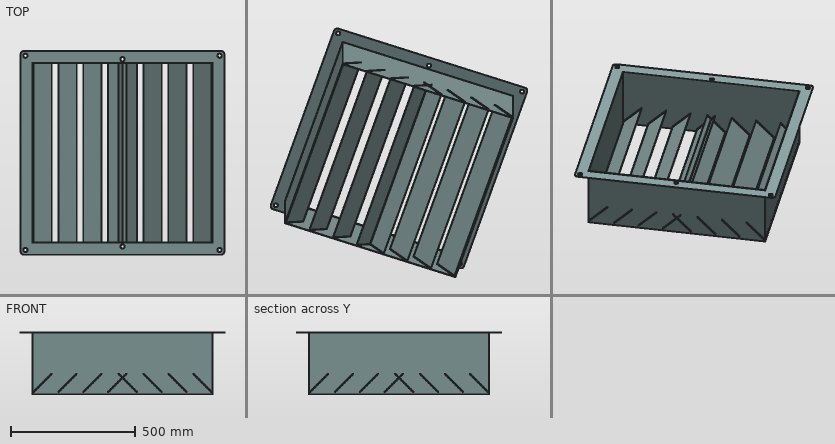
import cadquery as cq
import math

flange_side = 820.0
height = 250.0
sheet = 2.0
duct_side = 724.0
corner_radius = 15.0

hole_diameter = 16.0
corner_hole_offset = 390.0
middle_hole_offset = 376.0

blades_per_side = 4
blade_pitch = 100.0
blade_length = 104.0
blade_angle = 45.0
blade_bottom = 9.0
blade_end_projection = 0.2
blade_wall_gap = 2.0

opening_side = duct_side - 2 * sheet


def make_flange():
    plate = (
        cq.Workplane("XY")
        .workplane(offset=height - sheet)
        .rect(flange_side, flange_side)
        .rect(opening_side, opening_side)
        .extrude(sheet)
    )
    plate = plate.intersect(
        cq.Workplane("XY")
        .box(flange_side, flange_side, height, centered=(True, True, False))
        .edges("|Z")
        .fillet(corner_radius)
    )
    hole_points = [(0, side * middle_hole_offset) for side in (-1, 1)]
    for x_side in (-1, 1):
        for y_side in (-1, 1):
            hole_points.append((x_side * corner_hole_offset, y_side * corner_hole_offset))
    holes = cq.Workplane("XY").pushPoints(hole_points).circle(hole_diameter / 2).extrude(height)
    return plate.cut(holes)


def make_duct():
    return (
        cq.Workplane("XY")
        .rect(duct_side, duct_side)
        .rect(opening_side, opening_side)
        .extrude(height)
    )


def make_blade(left_corner_x):
    """Blade rising toward +X, with its leftmost corner at the given X."""
    angle = math.radians(blade_angle)
    span = duct_side + 2 * blade_end_projection
    along = (math.cos(angle), math.sin(angle))
    across = (math.sin(angle) * sheet, -math.cos(angle) * sheet)
    left_corner_z = blade_bottom - across[1]
    return (
        cq.Workplane("XZ", origin=(left_corner_x, 0, left_corner_z))
        .polyline([
            (0, 0),
            (along[0] * blade_length, along[1] * blade_length),
            (along[0] * blade_length + across[0], along[1] * blade_length + across[1]),
            across,
        ])
        .close()
        .extrude(span / 2, both=True)
    )


result = make_flange().union(make_duct())

for index in range(blades_per_side):
    blade = make_blade(-opening_side / 2 + blade_wall_gap + index * blade_pitch)
    result = result.union(blade).union(blade.mirror("YZ"))